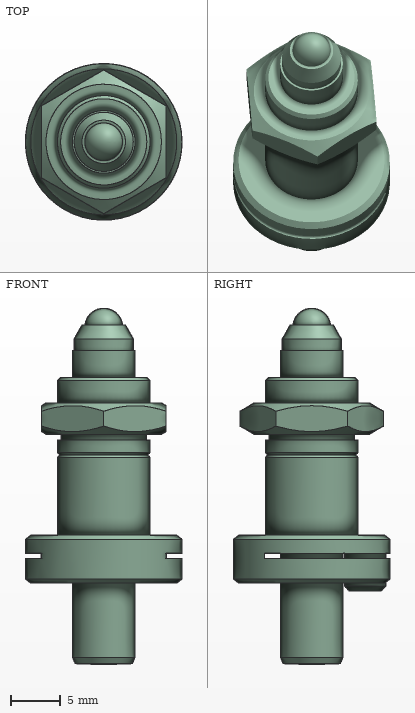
import cadquery as cq
import math

total_height = 36.33

stem_radius = 3.2
stem_top = 32.05
stem_chamfer_height = 0.65
stem_end_radius = 2.9
end_crown = 0.07

nose_radius = 3.0
cone_base = 33.2
cone_top_radius = 2.2
dome_base = 34.62
dome_base_radius = 1.93

sleeve_radius = 4.72
sleeve_top = 29.3
sleeve_chamfer = 0.33
neck_radius = 4.35
neck_bottom = 22.9
v_groove_center = 21.35
v_groove_half_width = 0.25
v_groove_depth = 0.2

nut_bottom = 23.47
nut_top = 26.65
nut_across_flats = 12.7
nut_face_radius = 5.9
nut_chamfer_angle = 30.0

flange_radius = 8.0
flange_bottom = 8.3
flange_top = 13.2
flange_chamfer_height = 0.45
flange_chamfer_width = 0.55
slot_bottom = 10.83
slot_top = 11.35
slot_end_y = -4.8

screw_radius = 2.1
screw_y = 5.45
screw_bottom = 7.5
screw_chamfer_height = 0.5
screw_end_radius = 1.65


def make_stem():
    """Round stem with a slightly domed bottom, conical nose and domed tip."""
    dome_height = total_height - dome_base
    dome_radius = (dome_base_radius**2 + dome_height**2) / (2 * dome_height)
    dome_center = total_height - dome_radius
    dome_middle = dome_radius * math.sqrt(0.5)
    crown_middle = (stem_end_radius / 2, end_crown / 4)
    return (
        cq.Workplane("XZ")
        .threePointArc(crown_middle, (stem_end_radius, end_crown))
        .lineTo(stem_radius, end_crown + stem_chamfer_height)
        .lineTo(stem_radius, stem_top)
        .lineTo(nose_radius, stem_top)
        .lineTo(nose_radius, cone_base)
        .lineTo(cone_top_radius, dome_base)
        .lineTo(dome_base_radius, dome_base)
        .threePointArc((dome_middle, dome_center + dome_middle), (0, total_height))
        .close()
        .revolve(360, (0, 0), (0, 1))
    )


def make_sleeve():
    """Sleeve with a V groove and a reduced neck below the nut."""
    outline = [
        (0, flange_top),
        (sleeve_radius, flange_top),
        (sleeve_radius, v_groove_center - v_groove_half_width),
        (sleeve_radius - v_groove_depth, v_groove_center),
        (sleeve_radius, v_groove_center + v_groove_half_width),
        (sleeve_radius, neck_bottom),
        (neck_radius, neck_bottom),
        (neck_radius, nut_bottom),
        (sleeve_radius, nut_bottom),
        (sleeve_radius, sleeve_top - sleeve_chamfer),
        (sleeve_radius - sleeve_chamfer, sleeve_top),
        (0, sleeve_top),
    ]
    return cq.Workplane("XZ").polyline(outline).close().revolve(360, (0, 0), (0, 1))


def make_nut():
    """Hexagon with corners toward +Y and -Y, trimmed by a cone on each face."""
    corner_radius = nut_across_flats / math.sqrt(3)
    corner_drop = (corner_radius - nut_face_radius) * math.tan(math.radians(nut_chamfer_angle))
    hexagon = (
        cq.Workplane("XY", origin=(0, 0, nut_bottom))
        .transformed(rotate=(0, 0, 90))
        .polygon(6, 2 * corner_radius)
        .extrude(nut_top - nut_bottom)
    )
    envelope_outline = [
        (0, nut_bottom),
        (nut_face_radius, nut_bottom),
        (corner_radius, nut_bottom + corner_drop),
        (corner_radius, nut_top - corner_drop),
        (nut_face_radius, nut_top),
        (0, nut_top),
    ]
    envelope = cq.Workplane("XZ").polyline(envelope_outline).close().revolve(360, (0, 0), (0, 1))
    return hexagon.intersect(envelope)


def make_flange():
    """Chamfered disc with a slot open toward +Y, -X and +X."""
    disc = (
        cq.Workplane("XY", origin=(0, 0, flange_bottom))
        .circle(flange_radius)
        .extrude(flange_top - flange_bottom)
        .faces("<Z or >Z")
        .chamfer(flange_chamfer_height, flange_chamfer_width)
    )
    slot = cq.Workplane("XY").box(
        2 * flange_radius,
        flange_radius - slot_end_y,
        slot_top - slot_bottom,
        centered=(True, False, False),
    )
    return disc.cut(slot.translate((0, slot_end_y, slot_bottom)))


def make_screw():
    """Screw bridging the slot, with a chamfered end below the flange."""
    return (
        cq.Workplane("XY", origin=(0, screw_y, screw_bottom))
        .circle(screw_radius)
        .extrude(slot_top - screw_bottom)
        .faces("<Z")
        .chamfer(screw_chamfer_height, screw_radius - screw_end_radius)
    )


result = make_flange().union(make_stem()).union(make_sleeve()).union(make_nut()).union(make_screw())